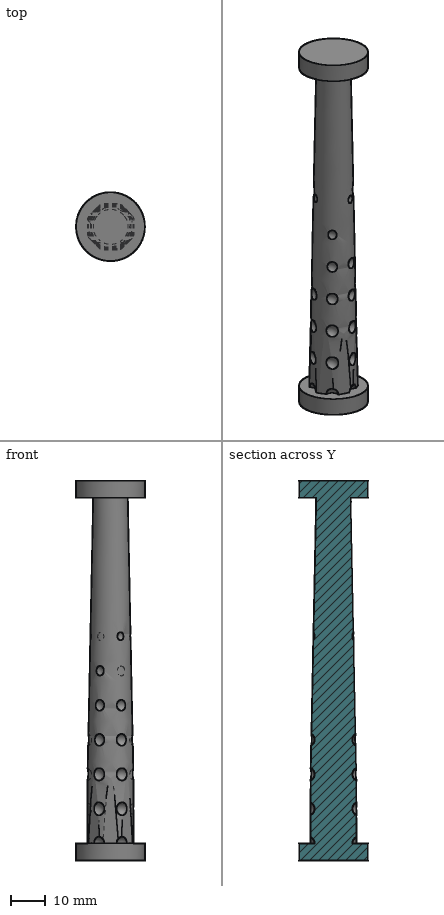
import cadquery as cq

total_height = 110.0
flange_diameter = 20.0
shank_height = 100.0
shank_bottom_diameter = 14.2
shank_top_diameter = 10.1
flat_count = 8
width_across_flats = 13.4
dimple_radius = 2.0
dimple_center_radius = 7.5
rows_per_shank = 10

dimple_rows = {
    60: (0, 1, 2, 3, 4, 5),
    120: (0, 1, 2, 3, 4, 6),
    180: (0, 1, 2, 3, 6),
}

flange_thickness = (total_height - shank_height) / 2
top_flange_base = flange_thickness + shank_height
row_pitch = shank_height / rows_per_shank


def make_flange(base_z):
    """Round end disc standing on the given height."""
    return cq.Workplane("XY").workplane(offset=base_z).circle(flange_diameter / 2).extrude(flange_thickness)


def make_cone():
    """Upward-tapering round shank, with its seam line turned to lie between two flats."""
    cone = cq.Solid.makeCone(shank_bottom_diameter / 2, shank_top_diameter / 2, shank_height)
    return (
        cq.Workplane("XY")
        .add(cone)
        .rotate((0, 0, 0), (0, 0, 1), 180 / flat_count)
        .translate((0, 0, flange_thickness))
    )


def cut_flats(shank):
    """Trim the wide lower end to vertical flats that run out where the cone gets narrower."""
    for index in range(flat_count // 2):
        slab = (
            cq.Workplane("XY")
            .box(width_across_flats, flange_diameter, total_height, centered=(True, True, False))
            .rotate((0, 0, 0), (0, 0, 1), index * 360 / flat_count)
        )
        shank = shank.intersect(slab)
    return shank


def cut_dimples(shank):
    """Sink inward-facing half spheres, all at one radius, so the dimples shrink as the shank narrows."""
    for column_angle, rows in dimple_rows.items():
        for angle in (column_angle, column_angle + 180):
            for row in rows:
                dimple = (
                    cq.Workplane("XY")
                    .moveTo(-dimple_radius, 0)
                    .radiusArc((0, dimple_radius), dimple_radius)
                    .lineTo(0, 0)
                    .close()
                    .revolve(360, (0, 0, 0), (1, 0, 0))
                    .translate((dimple_center_radius, 0, flange_thickness + row * row_pitch))
                    .rotate((0, 0, 0), (0, 0, 1), angle)
                )
                shank = shank.cut(dimple)
    return shank


shank = cut_flats(cut_dimples(make_cone()))
result = shank.union(make_flange(0)).union(make_flange(top_flange_base))